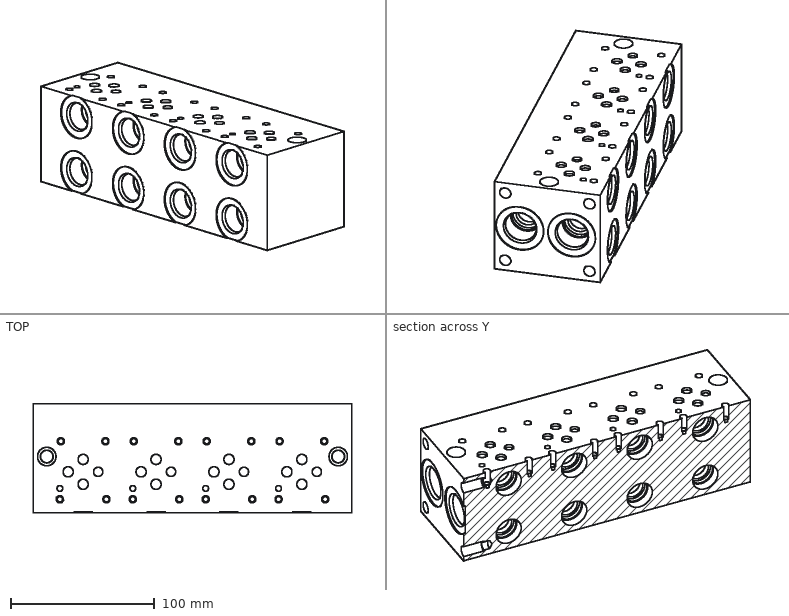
import cadquery as cq
import math

LENGTH = 222.2
DEPTH = 76.2
HEIGHT = 69.8

DRILL_POINT_ANGLE = 120.0

STATION_COUNT = 4
STATION_SPAN = 152.5
STATION_PITCH = STATION_SPAN / (STATION_COUNT - 1)
STATIONS_X = [i * STATION_PITCH - STATION_SPAN / 2 for i in range(STATION_COUNT)]

PATTERN_Y = 28.7
FLOW_HOLE_DIAMETER = 7.1
PRESSURE_HOLE_DIAMETER = 6.5
FLOW_HOLE_DEPTH = 2.0
WORK_HOLE_OFFSET = 8.7
SUPPLY_HOLE_OFFSET = 10.5
BOLT_BACK_Y = 50.0
BOLT_FRONT_Y = 9.5
BOLT_BACK_OFFSET = 15.5
BOLT_FRONT_OFFSET = 16.2
BOLT_THREAD_DIAMETER = 5.0
BOLT_DRILL_DIAMETER = 3.8
BOLT_THREAD_DEPTH = 11.1
BOLT_DRILL_DEPTH = 13.3
PIN_HOLE_DIAMETER = 4.0
PIN_HOLE_DEPTH = 4.5
PIN_HOLE_Y = 17.1

MOUNT_END_DISTANCE = 9.5
MOUNT_Y = 39.3
MOUNT_DIAMETER = 8.7
MOUNT_BORE_DIAMETER = 13.0
MOUNT_BORE_DEPTH = 17.8

SPOTFACE_DEPTH = 1.0
SEAL_CONE_DEPTH = 3.3

WORK_PORT_EDGE_DISTANCE = 14.7
WORK_PORT_SIZES = {
    "spotface_diameter": 30.7,
    "cone_mouth_diameter": 20.7,
    "cone_root_diameter": 19.3,
    "thread_diameter": 19.1,
    "thread_depth": 14.7,
    "tap_drill_diameter": 17.5,
    "tap_drill_depth": 17.8,
    "passage_diameter": 14.2,
    "passage_depth": 22.2,
}

PRESSURE_PORT_Y = 20.7
TANK_PORT_Y = 58.0
SUPPLY_PORT_SIZES = {
    "spotface_diameter": 34.2,
    "cone_mouth_diameter": 24.0,
    "cone_root_diameter": 22.5,
    "thread_diameter": 22.2,
    "thread_depth": 17.0,
    "tap_drill_diameter": 20.5,
    "tap_drill_depth": 20.0,
    "passage_diameter": 15.8,
    "passage_depth": 24.5,
}

END_TAP_EDGE_Y = 7.8
END_TAP_EDGE_Z = 8.0
END_TAP_THREAD_DIAMETER = 8.0
END_TAP_DRILL_DIAMETER = 6.5
END_TAP_THREAD_DEPTH = 15.5
END_TAP_DRILL_DEPTH = 20.0


def bore(steps):
    """Stepped round cutter running down from the origin and ending in a drill point.

    Each step is (diameter at its top, diameter at its bottom, depth of its bottom).
    """
    outline = [(0, 0)]
    step_top = 0
    for top_diameter, bottom_diameter, depth in steps:
        outline.append((top_diameter / 2, -step_top))
        outline.append((bottom_diameter / 2, -depth))
        step_top = depth
    last_radius = outline[-1][0]
    point_length = last_radius / math.tan(math.radians(DRILL_POINT_ANGLE / 2))
    outline.append((0, -step_top - point_length))
    profile = cq.Workplane("XZ").polyline(outline).close()
    return profile.revolve(360, (0, 0, 0), (0, 1, 0)).val()


def plain_hole(diameter, depth):
    return bore([(diameter, diameter, depth)])


def tapped_hole(thread_diameter, drill_diameter, thread_depth, drill_depth):
    return bore([
        (thread_diameter, thread_diameter, thread_depth),
        (drill_diameter, drill_diameter, drill_depth),
    ])


def port_cutter(
    spotface_diameter,
    cone_mouth_diameter,
    cone_root_diameter,
    thread_diameter,
    thread_depth,
    tap_drill_diameter,
    tap_drill_depth,
    passage_diameter,
    passage_depth,
):
    """Threaded port: spotface, conical seal seat, thread, tap drill and fluid passage."""
    return bore([
        (spotface_diameter, spotface_diameter, SPOTFACE_DEPTH),
        (cone_mouth_diameter, cone_root_diameter, SEAL_CONE_DEPTH),
        (thread_diameter, thread_diameter, thread_depth),
        (tap_drill_diameter, tap_drill_diameter, tap_drill_depth),
        (passage_diameter, passage_diameter, passage_depth),
    ])


def on_top(cutter, x, y):
    return cutter.moved(cq.Location(cq.Vector(x, y, HEIGHT)))


def on_front(cutter, x, z):
    turned = cutter.rotate(cq.Vector(0, 0, 0), cq.Vector(1, 0, 0), 90)
    return turned.moved(cq.Location(cq.Vector(x, 0, z)))


def on_left_end(cutter, y, z):
    turned = cutter.rotate(cq.Vector(0, 0, 0), cq.Vector(0, 1, 0), -90)
    return turned.moved(cq.Location(cq.Vector(-LENGTH / 2, y, z)))


def valve_pattern(station_x):
    flow_hole = plain_hole(FLOW_HOLE_DIAMETER, FLOW_HOLE_DEPTH)
    pressure_hole = plain_hole(PRESSURE_HOLE_DIAMETER, FLOW_HOLE_DEPTH)
    pin_hole = plain_hole(PIN_HOLE_DIAMETER, PIN_HOLE_DEPTH)
    bolt_hole = tapped_hole(
        BOLT_THREAD_DIAMETER, BOLT_DRILL_DIAMETER, BOLT_THREAD_DEPTH, BOLT_DRILL_DEPTH
    )
    cutters = [
        on_top(flow_hole, station_x, PATTERN_Y - WORK_HOLE_OFFSET),
        on_top(flow_hole, station_x, PATTERN_Y + WORK_HOLE_OFFSET),
        on_top(flow_hole, station_x - SUPPLY_HOLE_OFFSET, PATTERN_Y),
        on_top(pressure_hole, station_x + SUPPLY_HOLE_OFFSET, PATTERN_Y),
        on_top(pin_hole, station_x - BOLT_FRONT_OFFSET, PIN_HOLE_Y),
    ]
    for side in (-1, 1):
        cutters.append(on_top(bolt_hole, station_x + side * BOLT_BACK_OFFSET, BOLT_BACK_Y))
        cutters.append(on_top(bolt_hole, station_x + side * BOLT_FRONT_OFFSET, BOLT_FRONT_Y))
    return cutters


def work_ports(station_x):
    port = port_cutter(**WORK_PORT_SIZES)
    port_heights = (WORK_PORT_EDGE_DISTANCE, HEIGHT - WORK_PORT_EDGE_DISTANCE)
    return [on_front(port, station_x, z) for z in port_heights]


def left_end_holes():
    port = port_cutter(**SUPPLY_PORT_SIZES)
    tap = tapped_hole(
        END_TAP_THREAD_DIAMETER, END_TAP_DRILL_DIAMETER, END_TAP_THREAD_DEPTH, END_TAP_DRILL_DEPTH
    )
    cutters = [on_left_end(port, y, HEIGHT / 2) for y in (PRESSURE_PORT_Y, TANK_PORT_Y)]
    for y in (END_TAP_EDGE_Y, DEPTH - END_TAP_EDGE_Y):
        for z in (END_TAP_EDGE_Z, HEIGHT - END_TAP_EDGE_Z):
            cutters.append(on_left_end(tap, y, z))
    return cutters


block = cq.Workplane("XY").box(LENGTH, DEPTH, HEIGHT, centered=(True, False, False))

cutters = left_end_holes()
for station_x in STATIONS_X:
    cutters += valve_pattern(station_x) + work_ports(station_x)
block = cq.Workplane(block.val().cut(*cutters))

mount_x = LENGTH / 2 - MOUNT_END_DISTANCE
result = (
    block.faces(">Z").workplane(origin=(0, 0, HEIGHT))
    .pushPoints([(-mount_x, MOUNT_Y), (mount_x, MOUNT_Y)])
    .cboreHole(MOUNT_DIAMETER, MOUNT_BORE_DIAMETER, MOUNT_BORE_DEPTH)
)